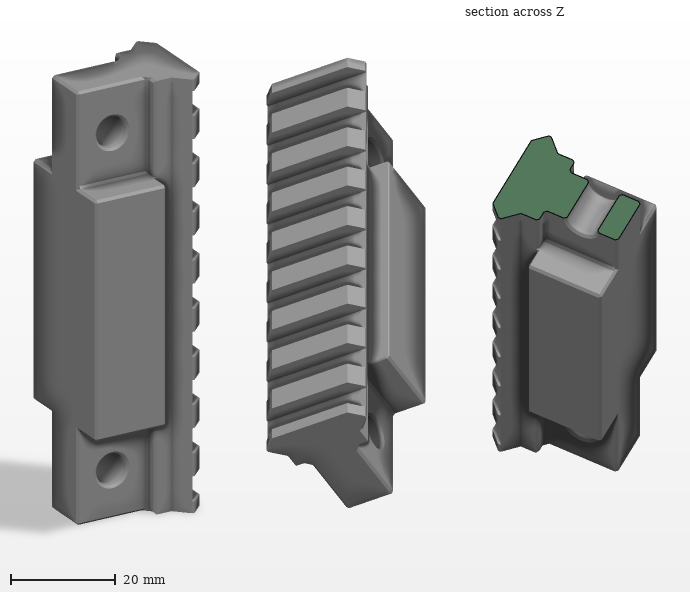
import cadquery as cq

length = 90.0
total_depth = 25.16

block_width = 24.0
block_depth = 15.5
block_length = 50.0
web_width = 10.0
edge_chamfer = 0.5
block_back_chamfer = 0.25
inner_y = block_depth + edge_chamfer

neck_width = 15.5
rail_width = 21.2
rail_top_width = 16.2
rail_side_height = 0.55
rail_side_end_y = total_depth - (rail_width - rail_top_width) / 2
rail_side_start_y = rail_side_end_y - rail_side_height
neck_end_y = rail_side_start_y - (rail_width - neck_width) / 2

slot_count = 9
slot_pitch = 10.0
slot_width = 5.23
slot_depth = 3.0

hole_diameter = 6.5
hole_spacing = 70.0
hole_chamfer = 0.5
hole_center_y = block_depth / 2


def make_rail():
    """Rail and neck over the full length, with the edges of the neck underside chamfered."""
    half_profile = [
        (0, block_depth),
        (neck_width / 2, block_depth),
        (neck_width / 2, neck_end_y),
        (rail_width / 2, rail_side_start_y),
        (rail_width / 2, rail_side_end_y),
        (rail_top_width / 2, total_depth),
        (0, total_depth),
    ]
    profile = cq.Workplane("XY").polyline(half_profile).mirrorY()
    rail = profile.extrude(length / 2, both=True)
    return rail.faces("<Y").edges().chamfer(edge_chamfer)


def make_block():
    """Middle block with all its edges chamfered, more lightly around the back."""
    block = cq.Workplane("XY").box(block_width, block_depth, block_length, centered=(True, False, True))
    block = block.edges("not >Y").chamfer(edge_chamfer)
    return block.edges(">Y").chamfer(block_back_chamfer)


def make_web():
    """Narrow full-length web with chamfered front and end edges, reaching into the neck."""
    web = cq.Workplane("XY").box(web_width, inner_y, length, centered=(True, False, True))
    return web.faces("<Y or <Z or >Z").edges("not >Y").chamfer(edge_chamfer)


def make_seat():
    """Solid joint between block and neck, closing their chamfers where they touch."""
    joint_depth = 2 * edge_chamfer
    seat = cq.Workplane("XY").box(neck_width, joint_depth, block_length, centered=(True, False, True))
    return seat.translate((0, block_depth - edge_chamfer, 0))


def make_neck_bevels():
    """Bevels in the inner corners between web and neck, running out through the end faces."""
    inner_x = web_width / 2 - edge_chamfer
    bevel_leg = 3 * edge_chamfer
    triangle = [
        (inner_x, inner_y),
        (inner_x + bevel_leg, inner_y),
        (inner_x, inner_y - bevel_leg),
    ]
    bevel = cq.Workplane("XY").polyline(triangle).close().extrude(length / 2, both=True)
    return bevel.union(bevel.mirror("YZ"))


def make_block_bevels():
    """Bevels in the four inner corners between web and block, behind the front chamfer."""
    corner_x = web_width / 2
    corner_z = block_length / 2
    triangle = [
        (corner_x, corner_z),
        (corner_x + edge_chamfer, corner_z),
        (corner_x, corner_z + edge_chamfer),
    ]
    sketch = cq.Workplane("XZ", origin=(0, edge_chamfer, 0)).polyline(triangle).close()
    bevel = sketch.extrude(edge_chamfer - block_depth)
    pair = bevel.union(bevel.mirror("YZ"))
    return pair.union(pair.mirror("XY"))


def cut_slots(part):
    """Evenly spaced slots across the rail top, centered on Z = 0."""
    slot_centers = [(0, (i - (slot_count - 1) / 2) * slot_pitch) for i in range(slot_count)]
    slots = (
        cq.Workplane("XZ", origin=(0, total_depth, 0))
        .pushPoints(slot_centers)
        .rect(rail_width, slot_width)
        .extrude(slot_depth)
    )
    return part.cut(slots)


def cut_hole(part, z):
    """Through hole along X, chamfered at both mouths."""
    half_width = web_width / 2
    radius = hole_diameter / 2
    mouth_radius = radius + hole_chamfer
    half_profile = [
        (-half_width, 0),
        (-half_width, mouth_radius),
        (-half_width + hole_chamfer, radius),
        (half_width - hole_chamfer, radius),
        (half_width, mouth_radius),
        (half_width, 0),
    ]
    profile = cq.Workplane("XY", origin=(0, hole_center_y, z)).polyline(half_profile).close()
    return part.cut(profile.revolve(360, (0, 0, 0), (1, 0, 0)))


body = make_rail()
for piece in (make_block(), make_web(), make_seat(), make_neck_bevels(), make_block_bevels()):
    body = body.union(piece)
body = cut_slots(body)
for hole_z in (-hole_spacing / 2, hole_spacing / 2):
    body = cut_hole(body, hole_z)
result = body